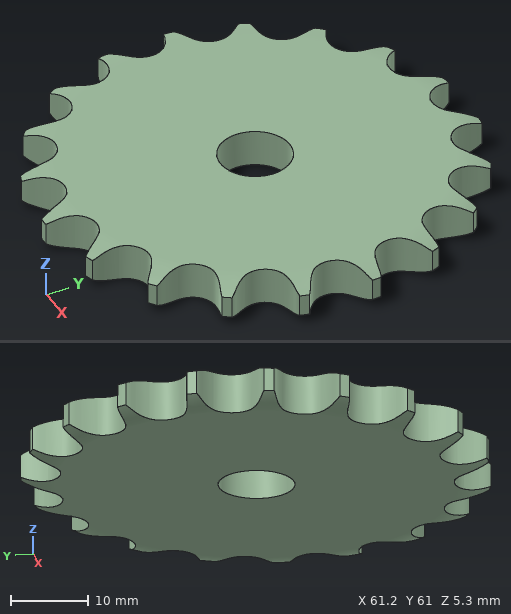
import cadquery as cq
import math

tooth_count = 19
thickness = 5.3
bore_diameter = 10.0
pitch_diameter = 57.9
tip_diameter = 61.3
roller_diameter = 6.35
seat_diameter = 6.5
rounding_diameter = 52.55
tip_width = 3.1

pitch_angle = 360 / tooth_count
pitch_radius = pitch_diameter / 2
tip_radius = tip_diameter / 2
seat_radius = seat_diameter / 2
rounding_depth = (tip_diameter - rounding_diameter) / 2
rounding_drop = (thickness - tip_width) / 2
rounding_radius = (rounding_depth**2 + rounding_drop**2) / (2 * rounding_drop)

seat_end_angle = 35 + 60 / tooth_count
working_angle = 18 - 56 / tooth_count
working_end_angle = seat_end_angle - working_angle
working_center_distance = 0.8 * roller_diameter
working_radius = seat_radius + working_center_distance
topping_center_distance = 1.4 * roller_diameter
topping_tilt = 17 - 64 / tooth_count
flat_length = (
    topping_center_distance * math.sin(math.radians(topping_tilt))
    - working_center_distance * math.sin(math.radians(working_angle))
)


def polar_offset(origin, distance, angle):
    """Point at a distance and an angle in degrees from the origin point."""
    a = math.radians(angle)
    return (origin[0] + distance * math.cos(a), origin[1] + distance * math.sin(a))


def mirrored(point):
    """Reflect a point of the gap across the gap's centre line, the Y axis."""
    return (-point[0], point[1])


def tooth_gap():
    """Gap centred on +Y: seat arc, concave working arcs, straight flanks and convex topping arcs."""
    seat_center = (0, pitch_radius)
    seat_bottom = (0, pitch_radius - seat_radius)
    working_center = polar_offset(seat_center, working_center_distance, 180 - seat_end_angle)
    seat_end = polar_offset(seat_center, seat_radius, -seat_end_angle)
    working_mid_angle = (seat_end_angle + working_end_angle) / 2
    working_mid = polar_offset(working_center, working_radius, -working_mid_angle)
    working_end = polar_offset(working_center, working_radius, -working_end_angle)
    flat_end = polar_offset(working_end, flat_length, 90 - working_end_angle)

    topping_center = polar_offset(seat_center, topping_center_distance, -pitch_angle / 2)
    topping_radius = math.dist(topping_center, flat_end)
    start_angle = math.degrees(
        math.atan2(flat_end[1] - topping_center[1], flat_end[0] - topping_center[0])
    )
    end_angle = 180 - math.degrees(math.asin((tip_radius - topping_center[1]) / topping_radius))
    topping_mid = polar_offset(topping_center, topping_radius, (start_angle + end_angle) / 2)
    topping_end = polar_offset(topping_center, topping_radius, end_angle)

    return (
        cq.Workplane("XY", origin=(0, 0, -thickness / 2))
        .moveTo(*mirrored(topping_end))
        .threePointArc(mirrored(topping_mid), mirrored(flat_end))
        .lineTo(*mirrored(working_end))
        .threePointArc(mirrored(working_mid), mirrored(seat_end))
        .threePointArc(seat_bottom, seat_end)
        .threePointArc(working_mid, working_end)
        .lineTo(*flat_end)
        .threePointArc(topping_mid, topping_end)
        .close()
        .extrude(thickness)
    )


def blank():
    """Bored disc whose rim is rounded on both faces by arcs tangent to the faces."""
    bore_radius = bore_diameter / 2
    rounding_start = rounding_diameter / 2
    half_thickness = thickness / 2
    half_turn = math.asin(rounding_depth / rounding_radius) / 2
    mid_radius = rounding_start + rounding_radius * math.sin(half_turn)
    mid_height = half_thickness - rounding_radius * (1 - math.cos(half_turn))
    return (
        cq.Workplane("XZ")
        .moveTo(bore_radius, -half_thickness)
        .lineTo(rounding_start, -half_thickness)
        .threePointArc((mid_radius, -mid_height), (tip_radius, -tip_width / 2))
        .lineTo(tip_radius, tip_width / 2)
        .threePointArc((mid_radius, mid_height), (rounding_start, half_thickness))
        .lineTo(bore_radius, half_thickness)
        .close()
        .revolve(360, (0, 0, 0), (0, 1, 0))
    )


result = blank()
gap = tooth_gap()
for index in range(tooth_count):
    result = result.cut(gap.rotate((0, 0, 0), (0, 0, 1), index * pitch_angle))